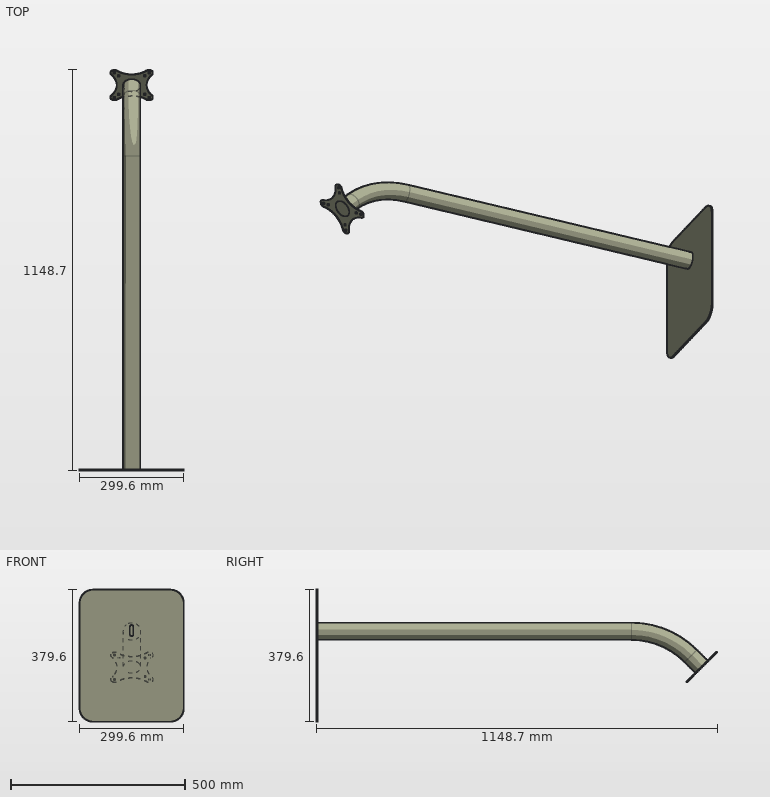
import cadquery as cq
import math

OVERALL_LENGTH = 1148.68

BASE_WIDTH = 299.6
BASE_HEIGHT = 379.6
BASE_THICKNESS = 4.0
BASE_CORNER_RADIUS = 40.0
TUBE_ABOVE_BASE_CENTRE = 70.0

TUBE_DIAMETER = 50.0
BEND_START_Y = 903.0
BEND_RADIUS = 240.0
BEND_ANGLE = 45.0

SLOT_LENGTH = 32.0
SLOT_WIDTH = 10.0
SLOT_RISE = 2.0

MOUNT_THICKNESS = 2.0
HOLE_DIAMETER = 5.4
HOLE_SPACINGS = (75.0, 100.0)
ARM_END_RADIUS = 11.5
ARM_END_CENTRE = 49.5
WAIST_HALF_WIDTH = 43.0
ARM_COUNT = 4

bend_sin = math.sin(math.radians(BEND_ANGLE))
bend_cos = math.cos(math.radians(BEND_ANGLE))
mount_half_width = ARM_END_CENTRE + ARM_END_RADIUS
bend_end_y = BEND_START_Y + BEND_RADIUS * bend_sin
bend_end_z = -BEND_RADIUS * (1 - bend_cos)
mount_centre_y = OVERALL_LENGTH - mount_half_width * bend_sin
end_length = (mount_centre_y - bend_end_y) / bend_cos - MOUNT_THICKNESS


def base_plate():
    """Rounded rectangle with a slot behind which the tube ends."""
    plate = (
        cq.Workplane("XZ", origin=(0, 0, -TUBE_ABOVE_BASE_CENTRE))
        .rect(BASE_WIDTH, BASE_HEIGHT)
        .extrude(-BASE_THICKNESS)
        .edges("|Y")
        .fillet(BASE_CORNER_RADIUS)
    )
    slot = (
        cq.Workplane("XZ", origin=(0, 0, SLOT_RISE))
        .slot2D(SLOT_LENGTH, SLOT_WIDTH, 90)
        .extrude(-BASE_THICKNESS)
    )
    return plate.cut(slot)


def bent_tube():
    """Solid round bar swept along the straight run, the bend and the short end."""
    half_angle = math.radians(BEND_ANGLE / 2)
    bend_middle = (
        BEND_START_Y + BEND_RADIUS * math.sin(half_angle),
        -BEND_RADIUS * (1 - math.cos(half_angle)),
    )
    path = (
        cq.Workplane("YZ")
        .moveTo(BASE_THICKNESS, 0)
        .lineTo(BEND_START_Y, 0)
        .threePointArc(bend_middle, (bend_end_y, bend_end_z))
        .line(end_length * bend_cos, -end_length * bend_sin)
    )
    return cq.Workplane("XZ", origin=(0, BASE_THICKNESS, 0)).circle(TUBE_DIAMETER / 2).sweep(path)


def mount_outline(plane):
    """Four arm ends joined by concave arcs, each tangent to two arm ends."""
    offset = ARM_END_CENTRE - WAIST_HALF_WIDTH
    side_radius = (ARM_END_CENTRE**2 + offset**2 - ARM_END_RADIUS**2) / 2 / (offset + ARM_END_RADIUS)
    side_centre = WAIST_HALF_WIDTH + side_radius
    blend = ARM_END_RADIUS / (ARM_END_RADIUS + side_radius)
    tangent_far = ARM_END_CENTRE + blend * (side_centre - ARM_END_CENTRE)
    tangent_near = ARM_END_CENTRE * (1 - blend)
    arm_tip = ARM_END_CENTRE + ARM_END_RADIUS * math.sqrt(0.5)

    def turned(x, y, quarter):
        """Point turned about the mount centre by a number of quarter turns."""
        for _ in range(quarter):
            x, y = -y, x
        return x, y

    outline = cq.Workplane(plane).moveTo(tangent_far, -tangent_near)
    for quarter in range(ARM_COUNT):
        side_middle = turned(WAIST_HALF_WIDTH, 0, quarter)
        side_end = turned(tangent_far, tangent_near, quarter)
        tip = turned(arm_tip, arm_tip, quarter)
        arm_end = turned(tangent_near, tangent_far, quarter)
        outline = outline.threePointArc(side_middle, side_end).threePointArc(tip, arm_end)
    return outline.close()


def screen_mount():
    """Mount plate square to the tube end, with two square hole patterns."""
    plane = cq.Plane(
        origin=(0, bend_end_y + end_length * bend_cos, bend_end_z - end_length * bend_sin),
        xDir=(1, 0, 0),
        normal=(0, bend_cos, -bend_sin),
    )
    mount = mount_outline(plane).extrude(MOUNT_THICKNESS)
    for spacing in HOLE_SPACINGS:
        holes = (
            cq.Workplane(plane)
            .rect(spacing, spacing, forConstruction=True)
            .vertices()
            .circle(HOLE_DIAMETER / 2)
            .extrude(MOUNT_THICKNESS)
        )
        mount = mount.cut(holes)
    return mount


result = base_plate().union(bent_tube()).union(screen_mount())